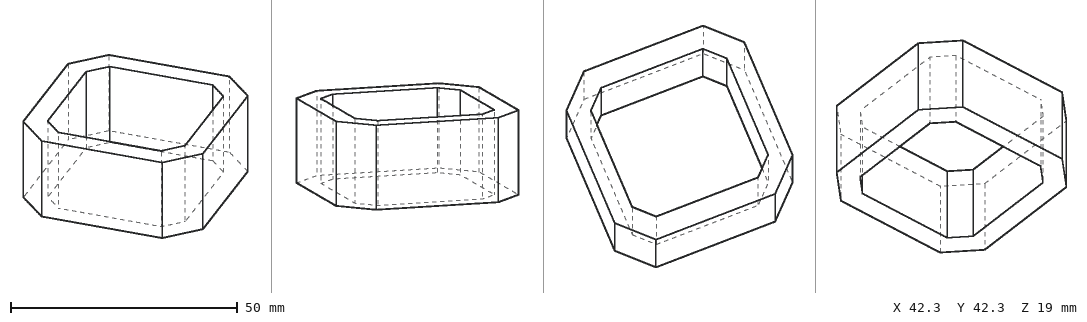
import cadquery as cq
import math

outer_width = 42.3
height = 19.0
wall = 5.0
outer_corner_cut = 7.0

inner_width = outer_width - 2 * wall
inner_corner_cut = outer_corner_cut - wall * (2 - math.sqrt(2))


def cut_corner_block(width, corner_cut):
    """Square block, centred on the origin, with chamfered vertical edges."""
    block = cq.Workplane("XY").box(width, width, height)
    return block.edges("|Z").chamfer(corner_cut)


outer_block = cut_corner_block(outer_width, outer_corner_cut)
opening = cut_corner_block(inner_width, inner_corner_cut)
result = outer_block.cut(opening)